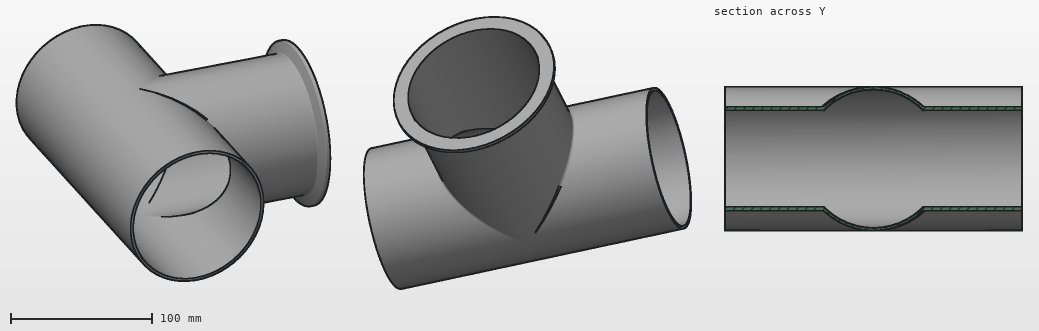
import cadquery as cq

run_length = 209.5
tube_outer_d = 101.6
tube_bore_d = 97.5
crotch_fillet_r = 1.7

overall_depth = 171.5
flange_d = 119.0
rim_thickness = 3.0
flange_thickness = 6.0
rim_fillet_r = 0.8
root_fillet_r = 0.8

tube_outer_r = tube_outer_d / 2
flange_r = flange_d / 2
face_y = overall_depth - tube_outer_r
rim_back_y = face_y - rim_thickness
flange_back_y = face_y - flange_thickness


def run_cylinder(diameter):
    """Cylinder along the whole run, centred on the branch axis."""
    return cq.Workplane("YZ").circle(diameter / 2).extrude(run_length / 2, both=True)


def branch_cylinder(diameter):
    """Cylinder from the run axis out to the flange face."""
    return cq.Workplane("XZ").circle(diameter / 2).extrude(-face_y)


def tee_body():
    """Two equal crossing cylinders, with the elliptical seams between them filleted."""
    tee = run_cylinder(tube_outer_d).union(branch_cylinder(tube_outer_d))
    return tee.edges("%ELLIPSE").fillet(crotch_fillet_r)


def flange_edge(radius, y):
    """Selector for the full circular edge of this radius around the branch axis at y."""
    margin = 0.02
    reach = radius + margin
    return cq.selectors.BoxSelector(
        (-reach, y - margin, -reach), (reach, y + margin, reach), boundingbox=True
    )


def add_flange(body):
    """Disc with a straight rim and a conical back, blended into the branch."""
    profile = [
        (0, face_y),
        (flange_r, face_y),
        (flange_r, rim_back_y),
        (tube_outer_r, flange_back_y),
        (0, flange_back_y),
    ]
    flange = cq.Workplane("XY").polyline(profile).close().revolve(360, (0, 0, 0), (0, 1, 0))
    body = body.union(flange)
    body = body.edges(flange_edge(flange_r, rim_back_y)).fillet(rim_fillet_r)
    return body.edges(flange_edge(tube_outer_r, flange_back_y)).fillet(root_fillet_r)


def cut_bores(body):
    """Open the run from end to end and the branch into it."""
    return body.cut(run_cylinder(tube_bore_d)).cut(branch_cylinder(tube_bore_d))


result = cut_bores(add_flange(tee_body()))